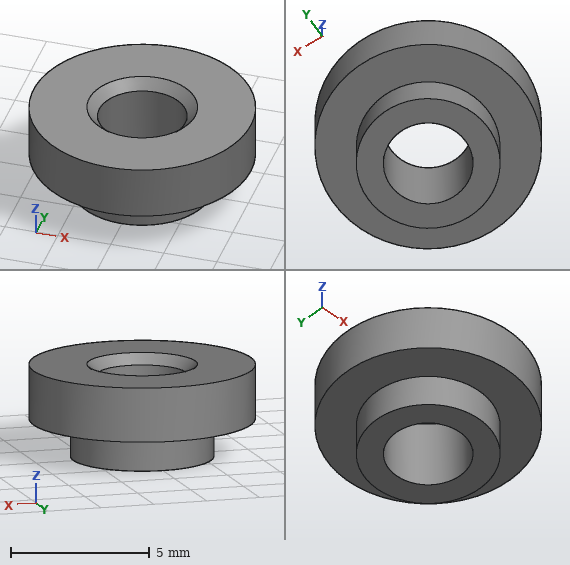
import cadquery as cq

flange_diameter = 8.2
flange_height = 2.0
spigot_diameter = 5.2
spigot_height = 1.4
bore_diameter = 3.24
countersink_diameter = 4.0

countersink_depth = (countersink_diameter - bore_diameter) / 2
total_height = spigot_height + flange_height

spigot = cq.Workplane("XY").circle(spigot_diameter / 2).extrude(spigot_height)
flange = (
    cq.Workplane("XY")
    .workplane(offset=spigot_height)
    .circle(flange_diameter / 2)
    .extrude(flange_height)
)
body = spigot.union(flange)

bore = cq.Workplane("XY").circle(bore_diameter / 2).extrude(total_height)
bored_body = body.cut(bore)
bore_rim = cq.selectors.RadiusNthSelector(0)
result = bored_body.faces(">Z").edges(bore_rim).chamfer(countersink_depth)